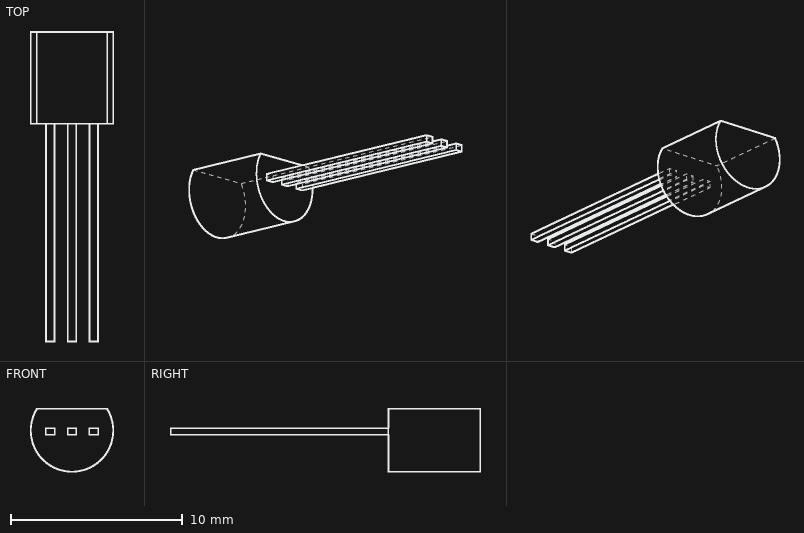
import cadquery as cq
import math

total_length = 18.03
body_length = 5.35
body_radius = 2.407
body_height = 3.68
flat_height = body_height - body_radius

lead_count = 3
lead_width = 0.5
lead_thickness = 0.4
lead_pitch = 1.26
lead_drop = 0.05
lead_length = total_length - body_length


def make_body():
    """Round package with a flat on top; its lead face lies at Y = 0."""
    half_flat = math.sqrt(body_radius**2 - flat_height**2)
    return (
        cq.Workplane("XZ")
        .moveTo(-half_flat, flat_height)
        .threePointArc((0, -body_radius), (half_flat, flat_height))
        .close()
        .extrude(-body_length)
    )


def make_lead(x):
    """Straight rectangular lead that starts on the lead face and runs toward -Y."""
    return (
        cq.Workplane("XZ")
        .center(x, -lead_drop)
        .rect(lead_width, lead_thickness)
        .extrude(lead_length)
    )


body = make_body()

leads = []
for index in range(lead_count):
    lead_x = (index - (lead_count - 1) / 2) * lead_pitch
    leads.append(make_lead(lead_x).val())

result = cq.Compound.makeCompound([body.val(), *leads])